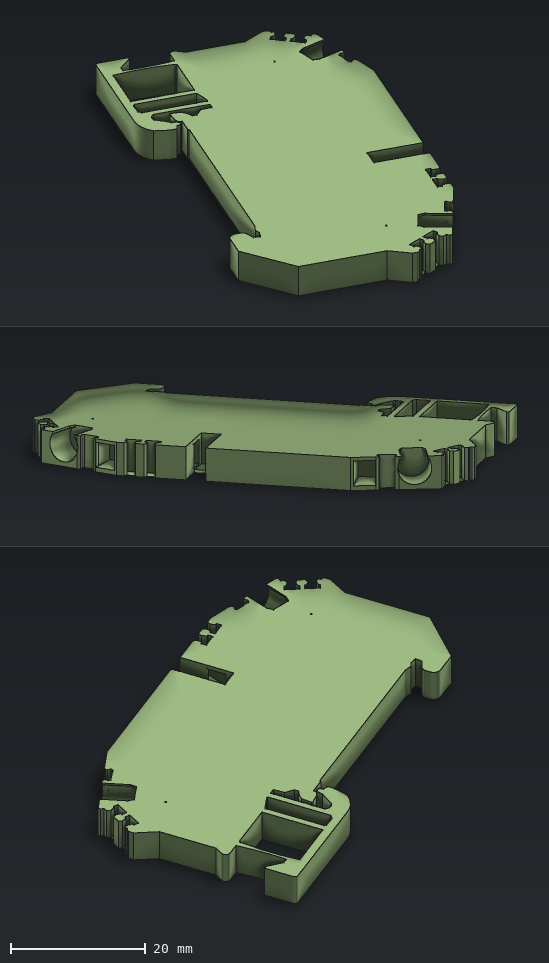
import cadquery as cq
import math


LENGTH = 68.0
HEIGHT = 38.5
THICKNESS = 5.1

HALF_LENGTH = LENGTH / 2
BODY_HALF = 32.1
RAIL_FACE_Y = 6.95
RAIL_PAD_Y = 6.7
SHELF_Y = 11.4

SHOULDER_ANGLE = 20.0
FLANK_ANGLE = 60.0

MARKERS_PER_EDGE = 2
MARKER_PITCH = 3.05
MARKER_MOUTH_HALF = 0.9
MARKER_NECK_HALF = 0.6
MARKER_HEAD_HALF = 1.15
MARKER_NECK_DEPTH = 0.6
MARKER_HEAD_DEPTH = 1.4
MARKER_DEPTH = 2.25
MARKER_FLOOR_Z = 0.2
TOP_MARKER_X = 12.85
SIDE_MARKER_X = -31.35
SIDE_MARKER_Y = 31.6

SCREW_X = 26.85
SCREW_Y = 34.95
SCREW_Z = 3.25
SCREW_RADIUS = 2.5
SCREW_DEPTH = 4.9
SCREW_SKIN_Z = 4.75
SCREW_MOUTH_HALF = 2.0
SCREW_MOUTH_END_HALF = 1.55
SCREW_MOUTH_STRAIGHT = 3.95

POCKET_BACK_Z = 0.75
POCKET_FRONT_Z = 4.55
POCKET_X = 19.9
POCKET_Y = 37.75
POCKET_WIDTH = 3.25
POCKET_DEPTH = 5.45
POCKET_TILT = 8.0

BRIDGE_LEFT = 4.3
BRIDGE_RIGHT = 7.35
BRIDGE_BOTTOM_Y = 29.65
BRIDGE_OPEN_Y = 33.8
BRIDGE_FLOOR_Z = 0.4

CHAMBER_LOW_Y = 30.95
CHAMBER_HIGH_Y = 37.25
CHAMBER_LOW_WIDTH = 1.5
CHAMBER_FRONT_Z = 4.4

PIN_X = 25.15
PIN_Y = 25.35
PIN_DIAMETER = 0.2
PIN_DEPTH = 0.7

HOOK_DIAMETER = 2.4
HOOK_RADIUS = HOOK_DIAMETER / 2
HOOK_LEFT = 20.05
HOOK_BOTTOM = 2.25

FOOT_LEFT = -33.4
FOOT_RIGHT = -11.5
FOOT_RADIUS = 4.7
FOOT_ARC_START = -15.8
FOOT_ARC_END = -12.1
FOOT_CORNER_RADIUS = 0.55
SPRING_LEFT = -30.25
SPRING_BOW = 0.3
SPRING_MIDDLE_Y = 6.4
CLIP_GAP_LEFT = -16.6


def prism(points, low=0.0, high=THICKNESS):
    """Extrude a closed XY polygon between two Z levels."""
    return cq.Workplane("XY", origin=(0, 0, low)).polyline(points).close().extrude(high - low)


def with_mirror(solid):
    """Pair a solid with its mirror image about X = 0."""
    return solid.union(solid.mirror("YZ"))


def make_body():
    shoulder = [
        (-17.95, HEIGHT), (-21.55, 37.2), (-21.9, 36.85), (-21.9, 36.5), (-21.4, 36.1), (-21.55, 35.8),
        (-23.9, 35.0), (-24.15, 35.3), (-24.15, 36.05), (-24.75, 36.05), (-30.75, 33.85),
    ]
    flank = [
        (-30.95, 33.4), (-30.5, 33.0), (-33.4, 28.0), (-33.4, 27.75),
        (-33.7, 27.6), (-HALF_LENGTH, 27.35), (-HALF_LENGTH, 26.45), (-BODY_HALF, 23.1),
    ]
    left_edge = shoulder + flank
    right_edge = [(-x, y) for x, y in reversed(left_edge)]

    clip_gap = [
        (CLIP_GAP_LEFT, SHELF_Y), (CLIP_GAP_LEFT, 12.25), (-15.65, 12.25), (-15.6, 10.4),
        (-14.35, 9.4), (-14.35, 8.7), (-15.2, 8.15), (-15.85, 7.5),
    ]
    lip = [(-16.0, 5.85), (-15.8, 5.65), (-14.0, 5.85), (-13.45, 6.1), (-13.3, RAIL_PAD_Y), (-10.8, RAIL_PAD_Y)]
    rail_face = [
        (-10.75, RAIL_FACE_Y), (18.85, RAIL_FACE_Y), (20.1, 6.6), (20.9, RAIL_FACE_Y), (22.0, RAIL_PAD_Y),
    ]
    outline = (
        cq.Workplane("XY")
        .polyline(left_edge + [(-BODY_HALF, 13.9), (-32.8, 12.7)])
        .threePointArc((-32.9, 11.9), (-32.3, SHELF_Y))
    )
    for corner in clip_gap + lip + rail_face:
        outline = outline.lineTo(*corner)
    outline = (
        outline.lineTo(21.9, 5.65)
        .lineTo(20.9, 5.2)
        .threePointArc((20.25, 4.75), (HOOK_LEFT, 4.15))
        .lineTo(HOOK_LEFT, HOOK_BOTTOM + HOOK_RADIUS)
        .radiusArc((HOOK_LEFT + HOOK_RADIUS, HOOK_BOTTOM), -HOOK_RADIUS)
        .lineTo(24.95, HOOK_BOTTOM)
        .lineTo(BODY_HALF, 9.2)
    )
    for corner in right_edge:
        outline = outline.lineTo(*corner)
    return outline.close().extrude(THICKNESS)


def make_foot():
    arc_end_y = FOOT_RADIUS - math.sqrt(FOOT_RADIUS**2 - (FOOT_ARC_END - FOOT_ARC_START) ** 2)
    root_y = SHELF_Y + 0.7
    notch_y = 3.25
    return (
        cq.Workplane("XY")
        .polyline([(CLIP_GAP_LEFT, root_y), (SPRING_LEFT, root_y), (SPRING_LEFT, SHELF_Y)])
        .threePointArc((SPRING_LEFT + SPRING_BOW, SPRING_MIDDLE_Y), (-30.05, notch_y))
        .lineTo(-30.95, notch_y)
        .lineTo(-33.0, 5.3)
        .lineTo(FOOT_LEFT, 5.3)
        .lineTo(FOOT_LEFT, FOOT_CORNER_RADIUS)
        .radiusArc((FOOT_LEFT + FOOT_CORNER_RADIUS, 0), -FOOT_CORNER_RADIUS)
        .lineTo(FOOT_ARC_START, 0)
        .radiusArc((FOOT_ARC_END, arc_end_y), -FOOT_RADIUS)
        .lineTo(FOOT_RIGHT, 4.15)
        .lineTo(FOOT_RIGHT, 5.3)
        .lineTo(-12.4, 5.6)
        .lineTo(-12.5, 6.25)
        .lineTo(-13.05, 6.4)
        .lineTo(-13.3, 5.9)
        .lineTo(-13.5, 5.2)
        .lineTo(-14.95, 3.05)
        .lineTo(-15.3, 2.85)
        .lineTo(-16.05, 2.85)
        .lineTo(CLIP_GAP_LEFT, 3.3)
        .close()
        .extrude(THICKNESS)
    )


def make_foot_windows():
    floor_y = 1.4
    wide_left = -29.25
    wide = (
        cq.Workplane("XY")
        .polyline([
            (wide_left, floor_y), (-21.3, floor_y), (-21.3, SHELF_Y), (-29.05, SHELF_Y), (wide_left, 11.15),
        ])
        .threePointArc((wide_left - SPRING_BOW, SPRING_MIDDLE_Y), (wide_left, floor_y))
        .close()
        .extrude(THICKNESS)
    )
    narrow = prism([
        (-20.25, 1.7), (-20.0, floor_y), (-18.1, floor_y), (-17.6, 1.9),
        (-17.6, 12.25), (-17.95, 12.25), (-20.25, SHELF_Y),
    ])
    return wide.union(narrow)


def make_marker_slot(x, y, angle):
    """Slot cut inwards from the edge point (x, y); angle turns it from the top edge."""
    above = 0.7
    mouth = prism([
        (-MARKER_MOUTH_HALF, above), (-MARKER_MOUTH_HALF, 0), (-MARKER_NECK_HALF, -MARKER_NECK_DEPTH),
        (MARKER_NECK_HALF, -MARKER_NECK_DEPTH), (MARKER_MOUTH_HALF, 0), (MARKER_MOUTH_HALF, above),
    ])
    neck = prism([
        (-MARKER_NECK_HALF, -MARKER_NECK_DEPTH), (-MARKER_MOUTH_HALF, -MARKER_HEAD_DEPTH),
        (MARKER_MOUTH_HALF, -MARKER_HEAD_DEPTH), (MARKER_NECK_HALF, -MARKER_NECK_DEPTH),
    ])
    ramp = (
        cq.Workplane("YZ", origin=(-MARKER_HEAD_HALF, 0, 0))
        .polyline([
            (-MARKER_NECK_DEPTH, 0), (-MARKER_HEAD_DEPTH, MARKER_FLOOR_Z), (-MARKER_HEAD_DEPTH, 0),
        ])
        .close()
        .extrude(2 * MARKER_HEAD_HALF)
    )
    head = prism([
        (-MARKER_HEAD_HALF, -MARKER_HEAD_DEPTH), (-MARKER_HEAD_HALF, -MARKER_DEPTH),
        (MARKER_HEAD_HALF, -MARKER_DEPTH), (MARKER_HEAD_HALF, -MARKER_HEAD_DEPTH),
    ], MARKER_FLOOR_Z)
    slot = mouth.union(neck.cut(ramp)).union(head)
    return slot.rotate((0, 0, 0), (0, 0, 1), angle).translate((x, y, 0))


def make_screw_hole():
    """Blind round hole square to the left shoulder, with a tapered opening in the front skin."""
    above = 1.35
    bore = (
        cq.Workplane("XZ", origin=(0, above, SCREW_Z))
        .circle(SCREW_RADIUS)
        .extrude(SCREW_DEPTH + above)
    )
    skin = cq.Workplane("XY", origin=(0, 0, SCREW_SKIN_Z)).rect(4 * SCREW_RADIUS, 4 * SCREW_DEPTH)
    opening = prism([
        (-SCREW_MOUTH_HALF, above), (-SCREW_MOUTH_HALF, -SCREW_MOUTH_STRAIGHT),
        (-SCREW_MOUTH_END_HALF, -SCREW_DEPTH), (SCREW_MOUTH_END_HALF, -SCREW_DEPTH),
        (SCREW_MOUTH_HALF, -SCREW_MOUTH_STRAIGHT), (SCREW_MOUTH_HALF, above),
    ], SCREW_SKIN_Z)
    hole = bore.cut(skin.extrude(THICKNESS)).union(opening)
    return hole.rotate((0, 0, 0), (0, 0, 1), SHOULDER_ANGLE).translate((-SCREW_X, SCREW_Y, 0))


def make_tool_pocket():
    """Closed rectangular pocket let into the left upper shoulder."""
    above = 1.35
    pocket = prism([
        (-POCKET_WIDTH / 2, above), (-POCKET_WIDTH / 2, -POCKET_DEPTH),
        (POCKET_WIDTH / 2, -POCKET_DEPTH), (POCKET_WIDTH / 2, above),
    ], POCKET_BACK_Z, POCKET_FRONT_Z)
    return pocket.rotate((0, 0, 0), (0, 0, 1), POCKET_TILT).translate((-POCKET_X, POCKET_Y, 0))


def make_bridge_slot():
    section = [
        (HEIGHT, 0), (BRIDGE_OPEN_Y, 0), (BRIDGE_OPEN_Y - BRIDGE_FLOOR_Z, BRIDGE_FLOOR_Z),
        (BRIDGE_BOTTOM_Y, BRIDGE_FLOOR_Z), (BRIDGE_BOTTOM_Y, THICKNESS), (HEIGHT, THICKNESS),
    ]
    slot = (
        cq.Workplane("YZ", origin=(BRIDGE_LEFT, 0, 0))
        .polyline(section)
        .close()
        .extrude(BRIDGE_RIGHT - BRIDGE_LEFT)
    )
    lean = math.tan(math.radians(SHOULDER_ANGLE))
    high_right = CHAMBER_LOW_WIDTH + lean * (CHAMBER_HIGH_Y - CHAMBER_LOW_Y)
    high_left = lean * (CHAMBER_HIGH_Y - BRIDGE_OPEN_Y)
    chamber = prism([
        (BRIDGE_RIGHT, CHAMBER_LOW_Y), (BRIDGE_RIGHT + CHAMBER_LOW_WIDTH, CHAMBER_LOW_Y),
        (BRIDGE_RIGHT + high_right, CHAMBER_HIGH_Y), (BRIDGE_RIGHT + high_left, CHAMBER_HIGH_Y),
        (BRIDGE_RIGHT, BRIDGE_OPEN_Y),
    ], POCKET_BACK_Z, CHAMBER_FRONT_Z)
    return slot.union(chamber)


def make_pin_mark():
    front = cq.Workplane("XY", origin=(-PIN_X, PIN_Y, THICKNESS - PIN_DEPTH))
    return front.circle(PIN_DIAMETER / 2).extrude(PIN_DEPTH)


housing = make_body().union(make_foot()).cut(make_foot_windows())

for feature in (make_screw_hole(), make_tool_pocket(), make_pin_mark()):
    housing = housing.cut(with_mirror(feature))

flank_step_x = -MARKER_PITCH * math.cos(math.radians(FLANK_ANGLE))
flank_step_y = -MARKER_PITCH * math.sin(math.radians(FLANK_ANGLE))
for i in range(MARKERS_PER_EDGE):
    side_x = SIDE_MARKER_X + i * flank_step_x
    side_y = SIDE_MARKER_Y + i * flank_step_y
    side_slot = make_marker_slot(side_x, side_y, FLANK_ANGLE)
    housing = housing.cut(with_mirror(side_slot))
    housing = housing.cut(make_marker_slot(TOP_MARKER_X + i * MARKER_PITCH, HEIGHT, 0))

result = housing.cut(make_bridge_slot())